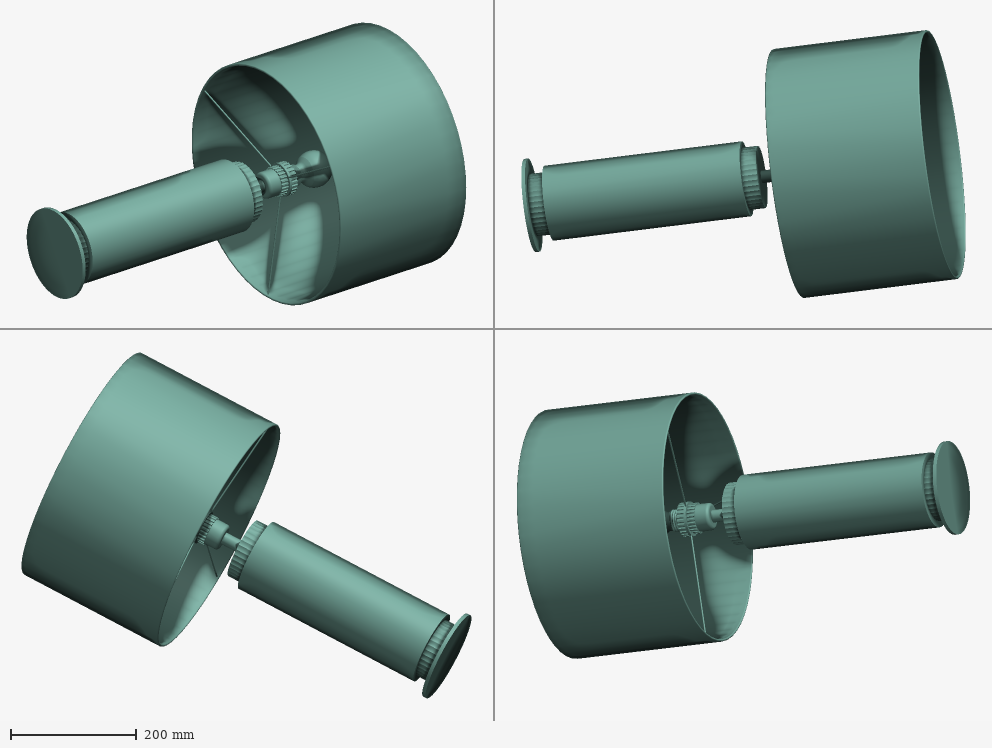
import cadquery as cq
import math

total_length = 669.0
foot_y = -total_length / 2
shade_end_y = total_length / 2

foot_radius = 75.0
foot_thickness = 6.0
collar_radius = 50.0
collar_length = 25.0
flute_count = 36
flute_depth = 0.8
column_radius = 60.0
column_length = 320.5
stem_radius = 10.0
stem_length = 34.0

shade_radius = 200.0
shade_length = 250.0
shade_wall = 4.0
shade_inner_radius = shade_radius - shade_wall

socket_radius = 22.0
socket_body_length = 23.5
socket_fillet = 5.5
lower_nut_radius = 25.0
lower_nut_length = 13.0
upper_nut_radius = 27.5
upper_nut_length = 12.0
knurl_count = 24
knurl_radius = 2.0
thread_radius = 18.0
thread_depth = 2.0
thread_pitch = 4.0
thread_count = 4
bore_radius = 13.5
bore_depth = 40.0

hub_radius = 28.0
hub_thickness = 4.0
hub_bore_radius = thread_radius
spoke_count = 3
spoke_radius = 1.5
first_spoke_angle = -90.0

bulb_radius = 30.0
neck_radius = 15.5
neck_length = 5.5
shoulder_degrees = -35.0
bulb_above_rim = 95.0

lower_collar_y = foot_y + foot_thickness
column_y = lower_collar_y + collar_length
upper_collar_y = column_y + column_length
stem_y = upper_collar_y + collar_length
socket_y = stem_y + stem_length
shade_y = shade_end_y - shade_length
lower_nut_y = socket_y + socket_body_length
hub_y = lower_nut_y + lower_nut_length
upper_nut_y = hub_y + hub_thickness
thread_y = upper_nut_y + upper_nut_length
socket_end_y = thread_y + thread_count * thread_pitch
bulb_y = shade_y + bulb_above_rim
spoke_outer_y = shade_y + shade_wall
spoke_inner_y = hub_y + hub_thickness / 2


def disc(radius, start_y, length):
    """Solid cylinder along +Y."""
    return cq.Workplane("XZ", origin=(0, start_y, 0)).circle(radius).extrude(-length)


def fluted_collar(start_y):
    """Collar ringed by shallow concave flutes that meet in sharp ridges."""
    half_pitch = math.pi / flute_count
    flute_bottom_radius = collar_radius * math.cos(half_pitch) - flute_depth

    def point(radius, step):
        angle = step * half_pitch
        return (radius * math.cos(angle), radius * math.sin(angle))

    outline = cq.Workplane("XZ", origin=(0, start_y, 0)).moveTo(*point(collar_radius, -1))
    for flute in range(flute_count):
        bottom = point(flute_bottom_radius, 2 * flute)
        ridge = point(collar_radius, 2 * flute + 1)
        outline = outline.threePointArc(bottom, ridge)
    return outline.close().extrude(-collar_length)


def make_base():
    """Foot, column between two fluted collars, and stem."""
    base = disc(foot_radius, foot_y, foot_thickness)
    base = base.union(fluted_collar(lower_collar_y))
    base = base.union(disc(column_radius, column_y, column_length))
    base = base.union(fluted_collar(upper_collar_y))
    return base.union(disc(stem_radius, stem_y, stem_length))


def make_shade():
    """Open drum whose two rims are fully rounded."""
    rim_radius = shade_wall / 2
    wall_middle = shade_radius - rim_radius
    wall_start_y = shade_y + rim_radius
    wall_end_y = shade_end_y - rim_radius
    profile = (
        cq.Workplane("XY")
        .moveTo(shade_inner_radius, wall_start_y)
        .threePointArc((wall_middle, shade_y), (shade_radius, wall_start_y))
        .lineTo(shade_radius, wall_end_y)
        .threePointArc((wall_middle, shade_end_y), (shade_inner_radius, wall_end_y))
        .close()
    )
    return profile.revolve(360, (0, 0), (0, 1))


def knurled_nut(radius, start_y, length):
    """Round nut with grooves along its rim."""
    grooves = (
        cq.Workplane("XZ", origin=(0, start_y, 0))
        .polarArray(radius, 0, 360, knurl_count)
        .circle(knurl_radius)
        .extrude(-length)
    )
    return disc(radius, start_y, length).cut(grooves)


def make_socket():
    """Lamp holder: plain body, two knurled nuts about the hub seat, ringed thread and bulb bore."""
    socket = disc(socket_radius, socket_y, socket_body_length).faces("<Y").edges().fillet(socket_fillet)
    socket = socket.union(knurled_nut(lower_nut_radius, lower_nut_y, lower_nut_length))
    socket = socket.union(disc(hub_bore_radius, hub_y, hub_thickness))
    socket = socket.union(knurled_nut(upper_nut_radius, upper_nut_y, upper_nut_length))
    for turn in range(thread_count):
        socket = socket.union(thread_ring(thread_y + turn * thread_pitch))
    bore = disc(bore_radius, socket_end_y - bore_depth, bore_depth)
    return socket.cut(bore)


def thread_ring(start_y):
    """One V-shaped ridge of the thread."""
    root_radius = thread_radius - thread_depth
    end_y = start_y + thread_pitch
    profile = [
        (0, start_y),
        (root_radius, start_y),
        (thread_radius, start_y + thread_pitch / 2),
        (root_radius, end_y),
        (0, end_y),
    ]
    return cq.Workplane("XY").polyline(profile).close().revolve(360, (0, 0), (0, 1))


def make_carrier():
    """Hub ring with sloping spokes that end on the inside of the shade."""
    carrier = disc(hub_radius, hub_y, hub_thickness)
    middle_radius = (hub_bore_radius + hub_radius) / 2
    for spoke in range(spoke_count):
        angle = math.radians(first_spoke_angle + spoke * 360 / spoke_count)
        outward = cq.Vector(math.cos(angle), 0, math.sin(angle))
        start = outward * middle_radius + cq.Vector(0, spoke_inner_y, 0)
        end = outward * shade_radius + cq.Vector(0, spoke_outer_y, 0)
        run = end - start
        carrier = carrier.union(cq.Workplane(cq.Solid.makeCylinder(spoke_radius, run.Length, start, run)))
    carrier = carrier.intersect(disc(shade_inner_radius, shade_y, shade_length))
    return carrier.cut(disc(hub_bore_radius, hub_y, hub_thickness))


def make_bulb():
    """Globe that flows into a neck, with a cap filling the socket bore."""
    cap_y = socket_end_y - bore_depth
    neck_end_y = socket_end_y + neck_length
    shoulder_angle = math.radians(shoulder_degrees)
    shoulder = (bulb_radius * math.cos(shoulder_angle), bulb_y + bulb_radius * math.sin(shoulder_angle))
    shoulder_tangent = (-math.sin(shoulder_angle), math.cos(shoulder_angle))
    profile = (
        cq.Workplane("XY")
        .moveTo(0, cap_y)
        .lineTo(bore_radius, cap_y)
        .lineTo(bore_radius, socket_end_y)
        .lineTo(neck_radius, socket_end_y)
        .lineTo(neck_radius, neck_end_y)
        .spline([shoulder], tangents=[(0, 1), shoulder_tangent], includeCurrent=True)
        .threePointArc((bulb_radius, bulb_y), (0, bulb_y + bulb_radius))
        .close()
    )
    return profile.revolve(360, (0, 0), (0, 1))


base = make_base()
shade = make_shade()
carrier = make_carrier()
socket = make_socket()
bulb = make_bulb()

result = cq.Compound.makeCompound([base.val(), shade.val(), carrier.val(), socket.val(), bulb.val()])